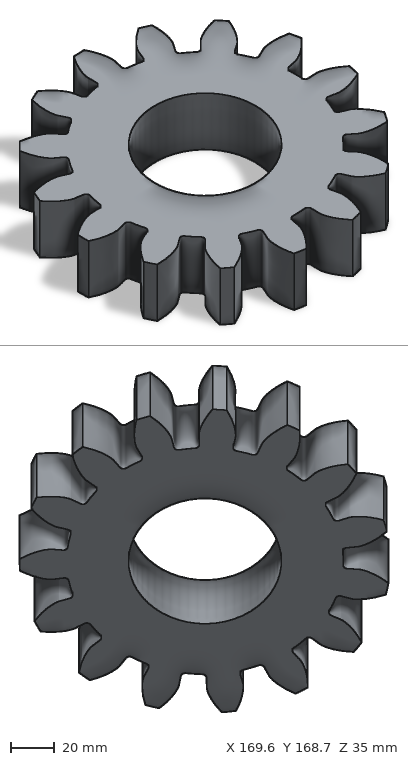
import cadquery as cq
import math

tooth_count = 15
pressure_angle = math.radians(20)
outer_width = 169.6
face_width = 35.0
bore_diameter = 70.0
root_fillet = 2.0
addendum_factor = 1.0
dedendum_factor = 7 / 6
flank_steps = 8

tooth_pitch = 2 * math.pi / tooth_count
first_tooth_angle = -math.pi / 2


def involute(angle):
    """Polar angle swept by an involute up to the given pressure angle."""
    return math.tan(angle) - angle


base_half_angle = tooth_pitch / 4 + involute(pressure_angle)
tip_pressure_angle = math.acos(
    tooth_count * math.cos(pressure_angle) / (tooth_count + 2 * addendum_factor)
)
tip_half_angle = base_half_angle - involute(tip_pressure_angle)

widest_corner_angle = tooth_pitch / 4 - tip_half_angle
tip_radius = outer_width / 2 / math.cos(widest_corner_angle)
module = 2 * tip_radius / (tooth_count + 2 * addendum_factor)
pitch_radius = module * tooth_count / 2
base_radius = pitch_radius * math.cos(pressure_angle)
root_radius = pitch_radius - dedendum_factor * module


def polar(radius, angle):
    return (radius * math.cos(angle), radius * math.sin(angle))


def flank_points(tooth_angle, side):
    """Involute points from base circle to tip; side is -1 or +1 around the tooth centre."""
    points = []
    for step in range(flank_steps + 1):
        roll = math.tan(tip_pressure_angle) * step / flank_steps
        radius = base_radius * math.hypot(1, roll)
        half_angle = base_half_angle - (roll - math.atan(roll))
        points.append(polar(radius, tooth_angle + side * half_angle))
    return points


def add_tooth(outline, tooth_angle):
    """Draw one tooth, anticlockwise, and the root arc that leads to the next tooth."""
    rising = flank_points(tooth_angle, -1)
    falling = flank_points(tooth_angle, 1)[::-1]
    next_tooth_start = tooth_angle + tooth_pitch - base_half_angle
    return (
        outline.lineTo(*rising[0])
        .spline(rising[1:], includeCurrent=True)
        .threePointArc(polar(tip_radius, tooth_angle), falling[0])
        .spline(falling[1:], includeCurrent=True)
        .lineTo(*polar(root_radius, tooth_angle + base_half_angle))
        .threePointArc(
            polar(root_radius, tooth_angle + tooth_pitch / 2),
            polar(root_radius, next_tooth_start),
        )
    )


def root_corners(body):
    """Upright edges where the radial tooth sides meet the root circle."""
    limit = (root_radius + base_radius) / 2
    corners = [
        edge
        for edge in body.edges("|Z").vals()
        if math.hypot(edge.Center().x, edge.Center().y) < limit
    ]
    return body.newObject(corners)


outline = cq.Workplane("XY").moveTo(*polar(root_radius, first_tooth_angle - base_half_angle))
for tooth in range(tooth_count):
    outline = add_tooth(outline, first_tooth_angle + tooth * tooth_pitch)
gear = outline.close().extrude(face_width)
gear = root_corners(gear).fillet(root_fillet)

result = gear.faces(">Z").workplane(origin=(0, 0, face_width)).hole(bore_diameter)